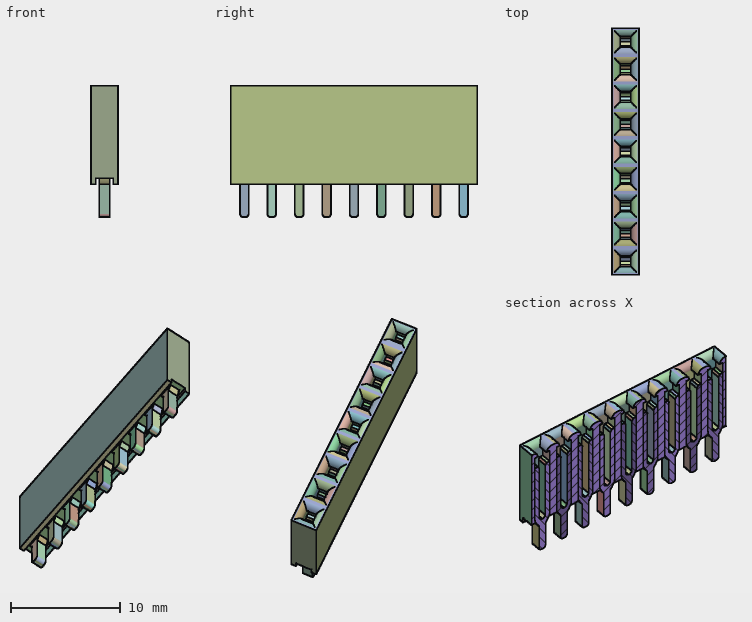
import cadquery as cq
import math

positions = 9
length = 22.5
pitch = length / positions
width = pitch
body_height = 9.0
tail_length = 3.0

channel_width = 1.55
channel_depth = 0.55

opening_size = 1.0
mouth_radius = 0.6
mouth_size = opening_size + 2 * mouth_radius
mouth_floor = body_height - mouth_radius

contact_width = opening_size
tail_thickness = 0.8
tip_radius = 0.32

contact_top = 7.2
flank_radius = 1.42
flank_start_tilt = 45.0
flank_center_y = tail_thickness / 2 - flank_radius * math.sin(math.radians(flank_start_tilt))
flank_center_z = flank_radius * math.cos(math.radians(flank_start_tilt))

slot_width = 0.68
slot_bottom = 0.68
floor_radius = 0.55
floor_start_tilt = 15.0
floor_center_y = -floor_radius * math.sin(math.radians(floor_start_tilt))
floor_center_z = slot_bottom + floor_radius * math.cos(math.radians(floor_start_tilt))
floor_end_tilt = math.degrees(math.asin((slot_width / 2 - floor_center_y) / floor_radius))
lead_in_tilt = 58.0
lead_in_depth = (opening_size - slot_width) / 2 * math.tan(math.radians(lead_in_tilt))


def position_y(index):
    """Y of a position, counted from the -Y end."""
    return (index - (positions - 1) / 2) * pitch


def arc_point(center_y, center_z, radius, tilt):
    """(Y, Z) on a circle, at an angle in degrees from straight down toward +Y."""
    angle = math.radians(tilt)
    return (center_y + radius * math.sin(angle), center_z - radius * math.cos(angle))


def mirrored(point):
    return (-point[0], point[1])


def make_mouth_profile(plane):
    """Funnel profile with convex quarter-round sides, as wide across as it is at the top."""
    half_opening = opening_size / 2
    half_mouth = mouth_size / 2
    middle = arc_point(half_mouth, mouth_floor, -mouth_radius, 45)
    return (
        cq.Workplane(plane)
        .moveTo(-half_opening, mouth_floor)
        .lineTo(half_opening, mouth_floor)
        .threePointArc(middle, (half_mouth, body_height))
        .lineTo(-half_mouth, body_height)
        .threePointArc(mirrored(middle), (-half_opening, mouth_floor))
        .close()
        .extrude(half_mouth, both=True)
    )


def make_mouth():
    """Square funnel whose four walls are convex quarter rounds."""
    return make_mouth_profile("XZ").intersect(make_mouth_profile("YZ"))


def make_cup_blank(top_z):
    """Contact cup without its slot, up to a given height; also the shape of the recess around it."""
    start = (tail_thickness / 2, 0)
    middle = arc_point(flank_center_y, flank_center_z, flank_radius, (flank_start_tilt + 90) / 2)
    end = (flank_center_y + flank_radius, flank_center_z)
    top = (end[0], top_z)
    return (
        cq.Workplane("YZ")
        .moveTo(*start)
        .threePointArc(middle, end)
        .lineTo(*top)
        .lineTo(*mirrored(top))
        .lineTo(*mirrored(end))
        .threePointArc(mirrored(middle), mirrored(start))
        .close()
        .extrude(contact_width / 2, both=True)
    )


def make_slot():
    half_slot = slot_width / 2
    middle = arc_point(floor_center_y, floor_center_z, floor_radius, (floor_start_tilt + floor_end_tilt) / 2)
    end = arc_point(floor_center_y, floor_center_z, floor_radius, floor_end_tilt)
    lip = (half_slot, contact_top - lead_in_depth)
    rim = (opening_size / 2, contact_top)
    return (
        cq.Workplane("YZ")
        .moveTo(0, slot_bottom)
        .threePointArc(middle, end)
        .lineTo(*lip)
        .lineTo(*rim)
        .lineTo(*mirrored(rim))
        .lineTo(*mirrored(lip))
        .lineTo(*mirrored(end))
        .threePointArc(mirrored(middle), (0, slot_bottom))
        .close()
        .extrude(contact_width / 2, both=True)
    )


def make_tail():
    return (
        cq.Workplane("XY")
        .rect(contact_width, tail_thickness)
        .extrude(-tail_length)
        .faces("<Z")
        .edges("|X")
        .fillet(tip_radius)
    )


def make_contact():
    return make_cup_blank(contact_top).union(make_tail()).cut(make_slot()).solids()


def make_housing():
    block = cq.Workplane("XY").box(width, length, body_height, centered=(True, True, False))
    channel = cq.Workplane("XY").box(channel_width, length, channel_depth, centered=(True, True, False))
    cavity = make_cup_blank(mouth_floor).union(make_mouth())
    body = block.cut(channel)
    for index in range(positions):
        body = body.cut(cavity.translate((0, position_y(index), 0)))
    return body.solids()


housing = make_housing()
contact = make_contact().val()
contacts = [contact.translate(cq.Vector(0, position_y(index), 0)) for index in range(positions)]

result = cq.Compound.makeCompound([housing.val(), *contacts])